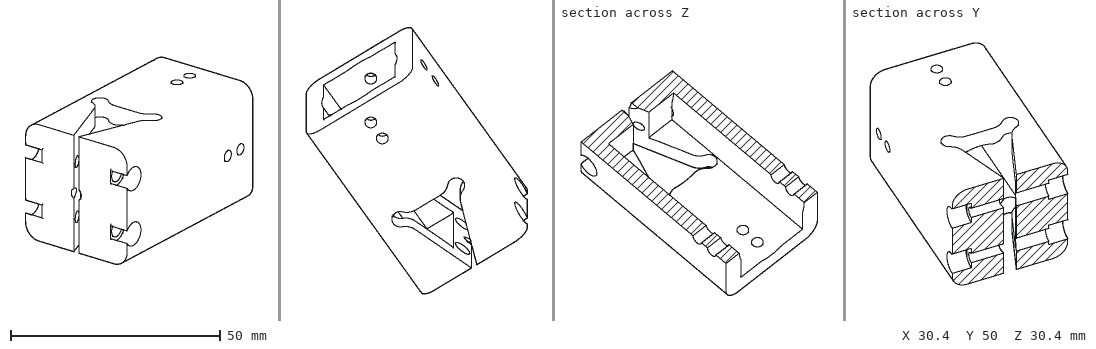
import cadquery as cq
import math

width = 30.4
length = 50.0
corner_radius = 4.0
half_width = width / 2

side_wall = 5.0
cavity_width = width - 2 * side_wall
bore_diameter = 21.5
front_wall = 5.0

mouth_width = 1.5
lobe_radius = 2.0
lobe_x = 8.0
lobe_y = 20.0
blend_radius = 4.0

hole_diameter = 2.8
back_hole_offsets = (5.0, 10.0)
screw_y = front_wall / 2
screw_z = 7.2
center_hole_diameter = 3.0
wide_screw_diameter = 4.0
counterbore_diameter = 6.0
counterbore_depth = side_wall


def x_cylinder(diameter, y, z, start, end):
    """Cylinder along X between two X positions."""
    disc = cq.Workplane("YZ", origin=(start, 0, 0)).center(y, z).circle(diameter / 2)
    return disc.extrude(end - start)


def opening():
    """Triangle with a round lobe at each rear corner, blended into its sides."""
    reach = math.sqrt((lobe_radius + blend_radius) ** 2 - blend_radius ** 2)
    half_mouth = mouth_width / 2
    side_length = math.hypot(lobe_x - half_mouth, lobe_y)
    along_x = (lobe_x - half_mouth) / side_length
    along_y = lobe_y / side_length

    side_tangent = (lobe_x - reach * along_x, lobe_y - reach * along_y)
    side_blend = (side_tangent[0] + blend_radius * along_y, side_tangent[1] - blend_radius * along_x)
    rear_tangent = (lobe_x - reach, lobe_y)
    rear_blend = (rear_tangent[0], lobe_y + blend_radius)

    def toward(center, target, distance):
        dx = target[0] - center[0]
        dy = target[1] - center[1]
        span = math.hypot(dx, dy)
        return (center[0] + distance * dx / span, center[1] + distance * dy / span)

    def arc_middle(center, start, end, radius):
        return toward(center, ((start[0] + end[0]) / 2, (start[1] + end[1]) / 2), radius)

    lobe = (lobe_x, lobe_y)
    lobe_start = toward(lobe, side_blend, lobe_radius)
    lobe_end = toward(lobe, rear_blend, lobe_radius)
    inner_middle = arc_middle(lobe, lobe_start, lobe_end, lobe_radius)
    lobe_middle = (2 * lobe_x - inner_middle[0], 2 * lobe_y - inner_middle[1])

    half = (
        cq.Workplane("XY", origin=(0, 0, -half_width))
        .lineTo(half_mouth, 0)
        .lineTo(*side_tangent)
        .threePointArc(arc_middle(side_blend, side_tangent, lobe_start, blend_radius), lobe_start)
        .threePointArc(lobe_middle, lobe_end)
        .threePointArc(arc_middle(rear_blend, lobe_end, rear_tangent, blend_radius), rear_tangent)
        .lineTo(0, lobe_y)
        .close()
        .extrude(width)
    )
    return half.union(half.mirror("YZ"))


body = cq.Workplane("XZ").rect(width, width).extrude(-length).edges("|Y").fillet(corner_radius)

cavity_plane = cq.Workplane("XZ", origin=(0, front_wall, 0))
cavity_depth = length - front_wall
body = body.cut(cavity_plane.rect(cavity_width, cavity_width).extrude(-cavity_depth))
body = body.cut(cavity_plane.circle(bore_diameter / 2).extrude(-cavity_depth))

body = body.cut(opening())

body = body.cut(cq.Workplane("XZ").circle(center_hole_diameter / 2).extrude(-front_wall))

for offset in back_hole_offsets:
    y = length - offset
    vertical_hole = cq.Workplane("XY", origin=(0, y, -half_width)).circle(hole_diameter / 2).extrude(width)
    body = body.cut(vertical_hole)
    body = body.cut(x_cylinder(hole_diameter, y, 0, -half_width, half_width))

floor_x = half_width - counterbore_depth
for z in (-screw_z, screw_z):
    body = body.cut(x_cylinder(hole_diameter, screw_y, z, -half_width, 0))
    body = body.cut(x_cylinder(wide_screw_diameter, screw_y, z, 0, half_width))
    body = body.cut(x_cylinder(counterbore_diameter, screw_y, z, -half_width, -floor_x))
    body = body.cut(x_cylinder(counterbore_diameter, screw_y, z, floor_x, half_width))

result = body